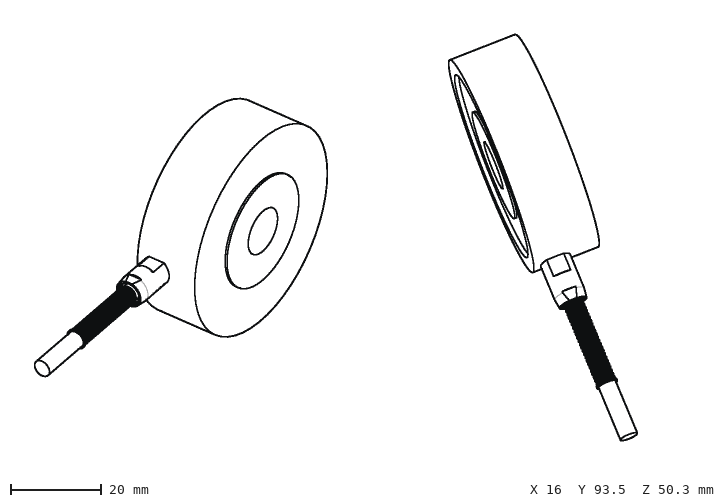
import cadquery as cq

BODY_DIAMETER = 50.29
OVERALL_WIDTH = 16.0
BORE_DIAMETER = 11.11
PAD_DIAMETER = 27.18
PAD_HEIGHT = 0.51
BODY_WIDTH = OVERALL_WIDTH - PAD_HEIGHT

RECESS_DIAMETER = 43.18
RECESS_DEPTH = 1.02
HUB_DIAMETER = 25.15
HUB_DEPTH = RECESS_DEPTH / 2

OUTLET_X = 5.08
OVERALL_LENGTH = 93.46
CABLE_DIAMETER = 4.06
CABLE_REACH = OVERALL_LENGTH - BODY_DIAMETER / 2

FITTING_DIAMETER = 7.06
FITTING_ROOT = 23.0
TAPER_START = 33.25
FITTING_REACH = 35.5
NOSE_DIAMETER = 6.5
WRENCH_FLAT_GAP = 5.79
WRENCH_FLAT_END = 29.05
NOSE_FLAT_GAP = 6.3
NOSE_FLAT_START = 33.0

MOUTH_DIAMETER = 5.71
MOUTH_HOLE_DIAMETER = 5.21
MOUTH_CONE_DEPTH = (MOUTH_DIAMETER - MOUTH_HOLE_DIAMETER) / 2
MOUTH_DEPTH = 1.0

RING_DIAMETER = 4.42
RING_PITCH = 0.8128
RING_COUNT = 24
RING_CREST_WIDTH = RING_PITCH / 4
RING_BASE_WIDTH = 3 * RING_CREST_WIDTH
COLLAR_DIAMETER = 4.8
COLLAR_WIDTH = 0.4
COLLAR_GAP = 0.1
COLLAR_START = FITTING_REACH + RING_COUNT * RING_PITCH + COLLAR_GAP


def body_cylinder(diameter, start, end):
    """Cylinder on the body axis between two X positions."""
    plane = cq.Workplane("YZ", origin=(start, 0, 0))
    return plane.circle(diameter / 2).extrude(end - start)


def outlet_cylinder(diameter, start, end):
    """Cylinder on the outlet axis between two reaches."""
    plane = cq.Workplane("XZ", origin=(OUTLET_X, -start, 0))
    return plane.circle(diameter / 2).extrude(end - start)


def outlet_cone(start_diameter, end_diameter, start, end):
    """Truncated cone on the outlet axis between two reaches."""
    profile = [(0, -start), (start_diameter / 2, -start), (end_diameter / 2, -end), (0, -end)]
    cone = cq.Workplane("XY").polyline(profile).close().revolve(360, (0, 0, 0), (0, 1, 0))
    return cone.translate((OUTLET_X, 0, 0))


def make_body():
    body = body_cylinder(BODY_DIAMETER, 0, BODY_WIDTH)
    pad = body_cylinder(PAD_DIAMETER, BODY_WIDTH, OVERALL_WIDTH)
    recess = body_cylinder(RECESS_DIAMETER, 0, RECESS_DEPTH)
    hub = body_cylinder(HUB_DIAMETER, HUB_DEPTH, RECESS_DEPTH)
    bore = body_cylinder(BORE_DIAMETER, 0, OVERALL_WIDTH)
    return body.union(pad).cut(recess.cut(hub)).cut(bore)


def cut_flat_pair(fitting, gap, start, end):
    """Trim the fitting to two flats facing +Z and -Z, the given gap apart."""
    length = end - start
    height = FITTING_DIAMETER - gap
    for side in (1, -1):
        center = (OUTLET_X, -(start + end) / 2, side * (gap + height) / 2)
        cutter = cq.Workplane("XY", origin=center).box(FITTING_DIAMETER, length, height)
        fitting = fitting.cut(cutter)
    return fitting


def make_fitting():
    barrel = outlet_cylinder(FITTING_DIAMETER, FITTING_ROOT, TAPER_START)
    nose = outlet_cone(FITTING_DIAMETER, NOSE_DIAMETER, TAPER_START, FITTING_REACH)
    fitting = barrel.union(nose)
    fitting = cut_flat_pair(fitting, WRENCH_FLAT_GAP, FITTING_ROOT, WRENCH_FLAT_END)
    fitting = cut_flat_pair(fitting, NOSE_FLAT_GAP, NOSE_FLAT_START, FITTING_REACH)
    cone_start = FITTING_REACH - MOUTH_CONE_DEPTH
    lead_in = outlet_cone(MOUTH_HOLE_DIAMETER, MOUTH_DIAMETER, cone_start, FITTING_REACH)
    hole = outlet_cylinder(MOUTH_HOLE_DIAMETER, FITTING_REACH - MOUTH_DEPTH, cone_start)
    return fitting.cut(lead_in).cut(hole)


def make_cable():
    """Cable with its ringed sleeve, revolved as one profile about the outlet axis."""
    cable_radius = CABLE_DIAMETER / 2
    ring_radius = RING_DIAMETER / 2
    collar_radius = COLLAR_DIAMETER / 2
    profile = cq.Workplane("XY").moveTo(0, -FITTING_ROOT).lineTo(cable_radius, -FITTING_ROOT)
    for index in range(RING_COUNT):
        middle = FITTING_REACH + (index + 0.5) * RING_PITCH
        profile = (
            profile.lineTo(cable_radius, -(middle - RING_BASE_WIDTH / 2))
            .lineTo(ring_radius, -(middle - RING_CREST_WIDTH / 2))
            .lineTo(ring_radius, -(middle + RING_CREST_WIDTH / 2))
            .lineTo(cable_radius, -(middle + RING_BASE_WIDTH / 2))
        )
    profile = (
        profile.lineTo(cable_radius, -COLLAR_START)
        .lineTo(collar_radius, -COLLAR_START)
        .lineTo(collar_radius, -(COLLAR_START + COLLAR_WIDTH))
        .lineTo(cable_radius, -(COLLAR_START + COLLAR_WIDTH))
        .lineTo(cable_radius, -CABLE_REACH)
        .lineTo(0, -CABLE_REACH)
        .close()
    )
    return profile.revolve(360, (0, 0, 0), (0, 1, 0)).translate((OUTLET_X, 0, 0))


result = make_body().union(make_fitting()).union(make_cable())